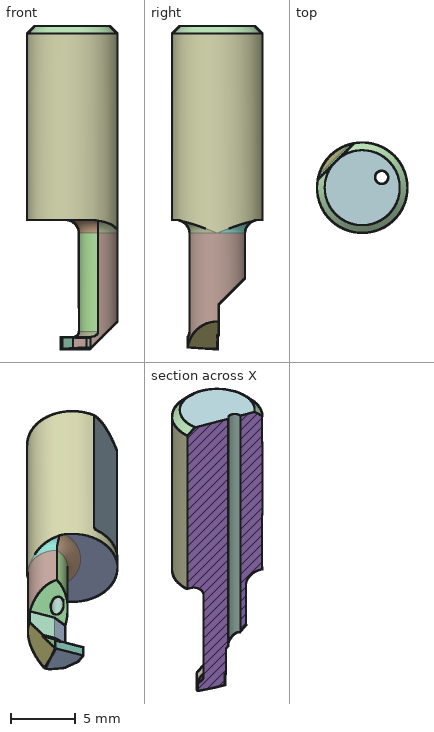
import cadquery as cq
import math

shank_radius = 3.5
total_length = 25.0
shank_bottom = 10.0
shank_chamfer = 0.6
flat_distance = 2.87
flat_bottom = 11.05
flat_runout_radius = 0.2
flat_direction = 135.0

neck_arc_radius = 2.3
neck_left = 0.5
left_arc_center = neck_left + neck_arc_radius
right_arc_center = shank_radius - neck_arc_radius
shank_fillet = 1.0
head_fillet = 0.4

chip_face_y = 0.13
chip_edge_y = -0.15
chip_slope_width = 1.0
runout_bottom = 3.48
tip_chamfer_top = 2.17
chip_step_height = 1.1

head_width = 0.98
head_rake_y = 0.05
head_back_y = -2.29
head_seat_x = 1.4
bottom_relief = 4.0
top_relief = 2.0
head_outline = [
    (head_seat_x, head_rake_y),
    (-0.89, head_rake_y),
    (-0.74, -0.72),
    (0.07, -1.77),
    (1.1, head_back_y),
    (head_seat_x, head_back_y),
]

coolant_diameter = 1.0
coolant_x = 1.5
coolant_y = 0.8

clearance = 10.0

relief_depth = clearance / 2
relief_rise = relief_depth * math.tan(math.radians(bottom_relief))
relief_drop = relief_depth * math.tan(math.radians(top_relief))


def cylinder(radius, bottom, top, x=0.0, y=0.0):
    """Vertical cylinder between two heights."""
    return cq.Workplane("XY", origin=(x, y, bottom)).circle(radius).extrude(top - bottom)


def shank():
    """Chamfered round bar with the clamping flat."""
    body = cylinder(shank_radius, shank_bottom, total_length)
    body = body.faces(">Z").chamfer(shank_chamfer)
    flat_cutter = (
        cq.Workplane("XY")
        .box(clearance, clearance, total_length, centered=(False, True, False))
        .edges("<X and <Z")
        .fillet(flat_runout_radius)
        .translate((flat_distance, 0, flat_bottom))
        .rotate((0, 0, 0), (0, 0, 1), flat_direction)
    )
    return body.cut(flat_cutter)


def flared_column(center_x, bottom_flare):
    """Round column that widens into the shank, and into the head when bottom_flare is above zero."""
    diagonal = math.sqrt(0.5)
    radius = neck_arc_radius
    profile = cq.Workplane("XZ").lineTo(radius + bottom_flare, 0)
    if bottom_flare > 0:
        flare_start = head_width
        flare_radius = radius + bottom_flare
        profile = profile.lineTo(flare_radius, flare_start).threePointArc(
            (radius + bottom_flare * (1 - diagonal), flare_start + bottom_flare * (1 - diagonal)),
            (radius, flare_start + bottom_flare),
        )
    fillet_start = shank_bottom - shank_fillet
    profile = (
        profile.lineTo(radius, fillet_start)
        .threePointArc(
            (radius + shank_fillet * (1 - diagonal), fillet_start + shank_fillet * diagonal),
            (radius + shank_fillet, shank_bottom),
        )
        .lineTo(0, shank_bottom)
        .close()
    )
    return profile.revolve(360, (0, 0, 0), (0, 1, 0)).translate((center_x, 0, 0))


def chip_clearance():
    """Space above the chip face: a sloped edge, then a flat, ending upward in a 45 degree run-out."""
    plan = (
        cq.Workplane("XY")
        .moveTo(neck_left - clearance, chip_edge_y)
        .lineTo(neck_left, chip_edge_y)
        .lineTo(neck_left + chip_slope_width, chip_face_y)
        .lineTo(clearance, chip_face_y)
        .lineTo(clearance, clearance)
        .lineTo(neck_left - clearance, clearance)
        .close()
        .extrude(shank_bottom)
    )
    runout = (
        cq.Workplane("YZ", origin=(-clearance, 0, 0))
        .moveTo(chip_face_y - clearance, -clearance)
        .lineTo(chip_face_y - clearance, runout_bottom - clearance)
        .lineTo(chip_face_y + clearance, runout_bottom + clearance)
        .lineTo(chip_face_y + clearance, -clearance)
        .close()
        .extrude(2 * clearance)
    )
    step = cq.Workplane("XY").box(
        2 * clearance, clearance, chip_step_height, centered=(True, False, False)
    )
    return plan.intersect(runout).union(step)


def tip_chamfer():
    """45 degree wedge off the lower end on the +X side."""
    return (
        cq.Workplane("XZ", origin=(0, clearance, 0))
        .moveTo(shank_radius, tip_chamfer_top)
        .lineTo(shank_radius + clearance, tip_chamfer_top + clearance)
        .lineTo(shank_radius + clearance, tip_chamfer_top - clearance)
        .lineTo(shank_radius - clearance, tip_chamfer_top - clearance)
        .close()
        .extrude(2 * clearance)
    )


def relieved_slab():
    """Slab as tall as the head at the rake face, thinning toward -Y on top and bottom."""
    return (
        cq.Workplane("YZ", origin=(-clearance, 0, 0))
        .moveTo(head_rake_y, 0)
        .lineTo(head_rake_y, head_width)
        .lineTo(head_rake_y - relief_depth, head_width - relief_drop)
        .lineTo(head_rake_y - relief_depth, relief_rise)
        .close()
        .extrude(2 * clearance)
    )


def head():
    """Hooked cutting tip."""
    prism = cq.Workplane("XY").polyline(head_outline).close().extrude(head_width)
    return prism.intersect(relieved_slab()).cut(tip_chamfer())


def neck():
    """Lens-shaped column from the shank down to the tip."""
    body = flared_column(left_arc_center, head_fillet)
    body = body.intersect(flared_column(right_arc_center, 0))
    body = body.intersect(cylinder(shank_radius, 0, shank_bottom))
    return body.cut(chip_clearance()).cut(tip_chamfer())


def head_pocket():
    """Everything outward of the head seat and under the top of the head."""
    seat = (
        cq.Workplane("XY")
        .box(clearance, 2 * clearance, head_width, centered=(False, True, False))
        .translate((head_seat_x - clearance, 0, 0))
    )
    return seat.intersect(relieved_slab())


def bottom_trim():
    """Space under the relieved bottom plane."""
    return (
        cq.Workplane("YZ", origin=(-clearance, 0, 0))
        .moveTo(head_rake_y, 0)
        .lineTo(head_rake_y - relief_depth, relief_rise)
        .lineTo(head_rake_y - relief_depth, -clearance)
        .lineTo(head_rake_y, -clearance)
        .close()
        .extrude(2 * clearance)
    )


def flank_trim():
    """Keeps the fillet above the head inside the head outline."""
    flank = head_outline[1:-1]
    outside = [(flank[-1][0], -clearance), (-clearance, -clearance), (-clearance, head_rake_y)]
    return (
        cq.Workplane("XY")
        .polyline(flank + outside)
        .close()
        .extrude(head_width + head_fillet)
    )


def holder_body():
    """Shank and neck in one piece, with a seat for the cutting head and the coolant hole."""
    body = shank().union(neck())
    body = body.cut(head_pocket()).cut(bottom_trim()).cut(flank_trim())
    return body.cut(cylinder(coolant_diameter / 2, 0, total_length, coolant_x, coolant_y))


holder = holder_body()
cutting_head = head()

result = cq.Compound.makeCompound([holder.val(), cutting_head.val()])